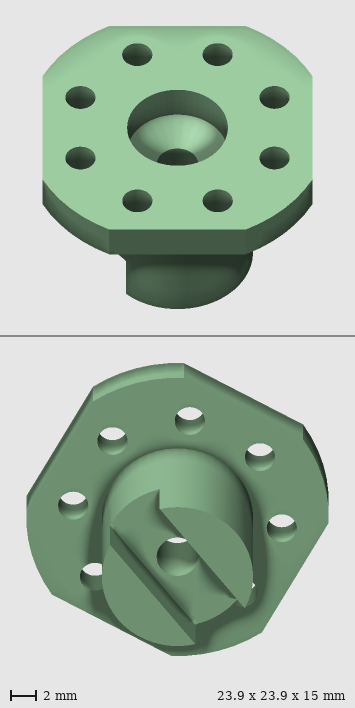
import cadquery as cq

total_height = 15.0
flange_thickness = 3.0
hub_height = total_height - flange_thickness

flange_diameter = 24.0
across_flats = 21.42
flats_angle = -22.5
center_hole_diameter = 8.0

mount_hole_count = 8
mount_hole_diameter = 2.4
mount_circle_diameter = 16.65

hub_diameter = 12.0
bore_diameter = 3.3
funnel_depth = 1.4
top_fillet = 0.2

slot_width = 5.0
slot_height = 4.0
slot_corner_radius = 0.2


def make_flange():
    disc = cq.Workplane("XY").circle(flange_diameter / 2).extrude(flange_thickness)
    square = (
        cq.Workplane("XY")
        .rect(across_flats, across_flats)
        .extrude(flange_thickness)
        .rotate((0, 0, 0), (0, 0, 1), flats_angle)
    )
    center_hole = cq.Workplane("XY").circle(center_hole_diameter / 2).extrude(flange_thickness)
    mount_holes = (
        cq.Workplane("XY")
        .polarArray(mount_circle_diameter / 2, 0, 360, mount_hole_count)
        .circle(mount_hole_diameter / 2)
        .extrude(flange_thickness)
    )
    plate = disc.intersect(square).cut(center_hole).cut(mount_holes)
    return plate.translate((0, 0, hub_height))


def make_hub_slot():
    return (
        cq.Workplane("XY")
        .box(slot_width, hub_diameter, slot_height, centered=(True, True, False))
        .edges("|Y and >Z")
        .fillet(slot_corner_radius)
    )


def make_hub():
    hub_radius = hub_diameter / 2
    bore_radius = bore_diameter / 2
    body = (
        cq.Workplane("XZ")
        .moveTo(bore_radius, 0)
        .lineTo(hub_radius, 0)
        .lineTo(hub_radius, hub_height - top_fillet)
        .tangentArcPoint((hub_radius - top_fillet, hub_height), relative=False)
        .lineTo(center_hole_diameter / 2, hub_height)
        .lineTo(bore_radius, hub_height - funnel_depth)
        .close()
        .revolve(360, (0, 0, 0), (0, 1, 0))
    )
    return body.cut(make_hub_slot())


flange = make_flange()
hub = make_hub()
result = cq.Compound.makeCompound([flange.val(), hub.val()])